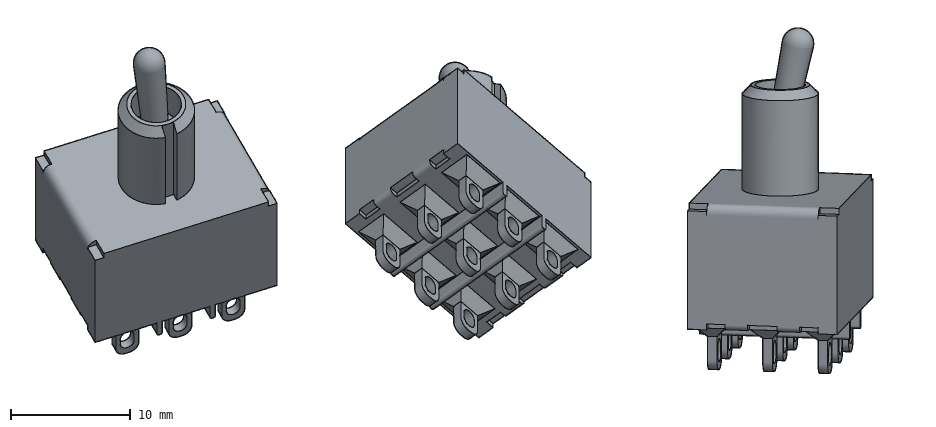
import cadquery as cq
import math


total_height = 28.3
case_length_x = 12.7
case_width_y = 16.52
case_bottom = 4.0
case_top = 14.57

wall_thickness = 0.8
bar_length = 9.48
bar_radius = wall_thickness
step_depth = 0.5
foot_inner = 1.25
foot_outer = 3.17
foot_radius = 0.42

bushing_radius = 3.2
bushing_top = 23.42
bushing_chamfer = 0.74
bore_radius = 4.2 / 2
keyway_width = 1.05

terminal_pitch_x = 4.7
terminal_pitch_y = 4.8
terminal_thickness = 0.82
terminal_width = 2.1
terminal_corner_radius = 0.9
pad_height = 1.02
eye_width = 1.25
eye_height = 1.92
eye_center_height = 1.65
divider_thickness = 0.5
divider_bottom = 2.45
divider_edge_radius = 0.23

lever_tilt = 11.5
lever_length = 7.53
tip_radius = 1.33
neck_radius = 1.13

pivot_height = total_height - tip_radius - lever_length * math.cos(math.radians(lever_tilt))


def box_between(x_range, y_range, z_range):
    """Axis-aligned block given by its (min, max) range along each axis."""
    size = [high - low for low, high in (x_range, y_range, z_range)]
    corner = (x_range[0], y_range[0], z_range[0])
    return cq.Workplane("XY").box(*size, centered=False).translate(corner)


def make_case():
    """Block with rounded top bars, corner steps, and notches beside rounded bottom feet."""
    half_x = case_length_x / 2
    half_y = case_width_y / 2
    half_bar = bar_length / 2
    case = box_between((-half_x, half_x), (-half_y, half_y), (case_bottom, case_top))
    case = case.edges("|X and >Z").fillet(bar_radius)

    step_z = case_top - step_depth
    notch_z = (case_bottom, case_bottom + step_depth)
    notch_spans = [(-half_bar, -foot_outer), (-foot_inner, foot_inner), (foot_outer, half_bar)]
    foot_spans = [(-foot_outer, -foot_inner), (foot_inner, foot_outer)]
    for side_y in (-half_y, half_y):
        inner_y = side_y - math.copysign(wall_thickness, side_y)
        edge_y = tuple(sorted((side_y, inner_y)))
        for end_x in [(-half_x, -half_bar), (half_bar, half_x)]:
            case = case.union(box_between(end_x, edge_y, (case_top - bar_radius, step_z)))
            case = case.cut(box_between(end_x, edge_y, (step_z, case_top)))
        for notch_x in notch_spans:
            case = case.cut(box_between(notch_x, edge_y, notch_z))
        for foot_x in foot_spans:
            case = case.cut(make_foot_rounding(foot_x, side_y))
    return case


def make_foot_rounding(foot_x, side_y):
    """Material outside the rounded lower outer edge of one foot."""
    inner_y = side_y - math.copysign(foot_radius, side_y)
    arc_y = inner_y + math.copysign(foot_radius * math.sqrt(0.5), side_y)
    arc_z = case_bottom + foot_radius * (1 - math.sqrt(0.5))
    return (
        cq.Workplane("YZ", origin=(foot_x[0], 0, 0))
        .moveTo(side_y, case_bottom)
        .lineTo(inner_y, case_bottom)
        .threePointArc((arc_y, arc_z), (side_y, case_bottom + foot_radius))
        .close()
        .extrude(foot_x[1] - foot_x[0])
    )


def make_bushing():
    """Chamfered round bushing with a keyway along its +X side."""
    height = bushing_top - case_top
    bushing = cq.Workplane("XY", origin=(0, 0, case_top)).circle(bushing_radius).extrude(height)
    bushing = bushing.edges(">Z").chamfer(bushing_chamfer)
    half_key = keyway_width / 2
    keyway_x = (bushing_radius - bushing_chamfer, bushing_radius)
    return bushing.cut(box_between(keyway_x, (-half_key, half_key), (case_top, bushing_top)))


def make_bore():
    """Bushing bore that ends in a half-round seat for the lever ball."""
    diagonal = bore_radius * math.sqrt(0.5)
    return (
        cq.Workplane("XZ")
        .moveTo(0, pivot_height - bore_radius)
        .threePointArc((diagonal, pivot_height - diagonal), (bore_radius, pivot_height))
        .lineTo(bore_radius, bushing_top)
        .lineTo(0, bushing_top)
        .close()
        .revolve(360, (0, 0, 0), (0, 1, 0))
    )


def make_terminal():
    """Flat terminal with a rounded end, an eye, and a pyramid pad at its root, at X = Y = 0."""
    blade = box_between(
        (-terminal_thickness / 2, terminal_thickness / 2),
        (-terminal_width / 2, terminal_width / 2),
        (0, case_bottom),
    )
    blade = blade.edges("|X and <Z").fillet(terminal_corner_radius)
    eye = (
        cq.Workplane("YZ")
        .center(0, eye_center_height)
        .slot2D(eye_height, eye_width, 90)
        .extrude(terminal_thickness, both=True)
    )
    pad = (
        cq.Workplane("XY", origin=(0, 0, case_bottom - pad_height))
        .rect(terminal_thickness, terminal_width)
        .workplane(offset=pad_height)
        .rect(terminal_thickness + 2 * pad_height, terminal_width + 2 * pad_height)
        .loft(ruled=True)
    )
    return blade.cut(eye).union(pad)


def make_divider(center_y):
    """Thin wall between two terminal rows, along the whole case length."""
    divider = box_between(
        (-case_length_x / 2, case_length_x / 2),
        (center_y - divider_thickness / 2, center_y + divider_thickness / 2),
        (divider_bottom, case_bottom),
    )
    return divider.edges("|X and <Z").fillet(divider_edge_radius)


def make_housing():
    """Case, bushing, terminals and dividers as one solid, bored for the lever."""
    housing = make_case().union(make_bushing())
    terminal = make_terminal()
    for column in (-1, 0, 1):
        for row in (-1, 0, 1):
            place = (column * terminal_pitch_x, row * terminal_pitch_y, 0)
            housing = housing.union(terminal.translate(place))
    for side in (-1, 1):
        housing = housing.union(make_divider(side * terminal_pitch_y / 2))
    return housing.cut(make_bore())


def make_lever():
    """Ball, tapered shank and domed tip turned about one axis, tilted about the ball center."""
    neck_height = math.sqrt(bore_radius**2 - neck_radius**2)
    tip_diagonal = tip_radius * math.sqrt(0.5)
    lever = (
        cq.Workplane("XZ")
        .moveTo(0, -bore_radius)
        .threePointArc((bore_radius, 0), (neck_radius, neck_height))
        .lineTo(tip_radius, lever_length)
        .threePointArc((tip_diagonal, lever_length + tip_diagonal), (0, lever_length + tip_radius))
        .close()
        .revolve(360, (0, 0, 0), (0, 1, 0))
    )
    return lever.rotate((0, 0, 0), (0, 1, 0), -lever_tilt).translate((0, 0, pivot_height))


housing = make_housing().solids()
lever = make_lever().solids()

result = cq.Compound.makeCompound([housing.val(), lever.val()])